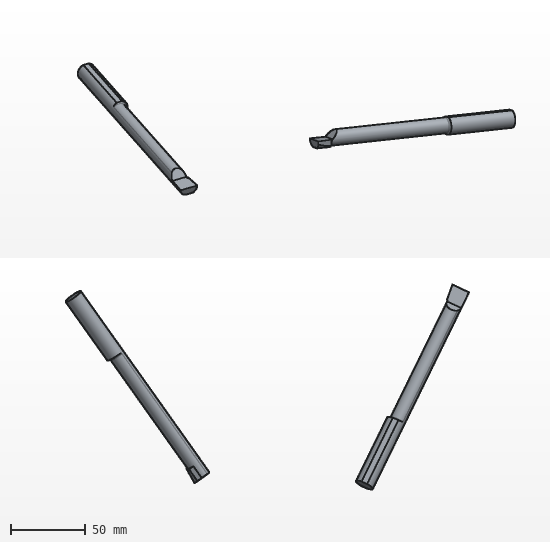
import cadquery as cq
import math

total_length = 152.4
shank_radius = 6.32
shank_length = 49.4
flat_width = 4.1

neck_radius = 5.5
neck_offset = 1.15
root_radius = 0.9

ramp_start = 134.7
rake_start = 140.0
rake_height = 0.0

head_start = 141.0
head_root_y = 5.0
tip_y = 6.2
relief_angle = 7.0
end_tilt = 1.0
margin = 15.2

flat_height = math.sqrt(shank_radius**2 - (flat_width / 2) ** 2)


def round_bar(radius, length):
    return cq.Workplane("YZ").circle(radius).extrude(length)


def flat_cut():
    """Space above the clamping flat, reaching over the neck root as well."""
    return (
        cq.Workplane("XY", origin=(0, 0, flat_height))
        .rect(2 * (shank_length + root_radius), 2 * margin)
        .extrude(margin)
    )


def make_neck():
    """Turned neck with a concave root, kept inside the shank's cylinder."""
    blend_end = shank_length + root_radius
    outer_radius = neck_radius + root_radius
    diagonal = root_radius * math.sqrt(0.5)
    arc_middle = (blend_end - diagonal, outer_radius - diagonal)
    neck = (
        cq.Workplane("XZ")
        .moveTo(shank_length, 0)
        .lineTo(shank_length, outer_radius)
        .threePointArc(arc_middle, (blend_end, neck_radius))
        .lineTo(total_length, neck_radius)
        .lineTo(total_length, 0)
        .close()
        .revolve(360, (0, 0, 0), (1, 0, 0))
        .translate((0, -neck_offset, 0))
    )
    return neck.intersect(round_bar(shank_radius, total_length))


def make_head():
    """Cutting head below the rake face, tapered for side clearance."""
    outline = [
        (head_start, -neck_offset),
        (head_start, head_root_y),
        (total_length, tip_y),
        (total_length, -neck_offset),
    ]
    head = (
        cq.Workplane("XY", origin=(0, 0, rake_height))
        .polyline(outline)
        .close()
        .extrude(-neck_radius, taper=relief_angle)
    )
    return head.intersect(round_bar(shank_radius, total_length))


def rake_cut():
    """Space above the ramp and the rake face."""
    return (
        cq.Workplane("XZ")
        .moveTo(ramp_start, neck_radius)
        .lineTo(rake_start, rake_height)
        .lineTo(total_length + margin, rake_height)
        .lineTo(total_length + margin, neck_radius + margin)
        .lineTo(ramp_start, neck_radius + margin)
        .close()
        .extrude(margin, both=True)
    )


def end_relief_cut():
    """Space ahead of the end face, which leans back below the cutting edge."""
    drop = 2 * neck_radius
    setback = drop * math.tan(math.radians(relief_angle))
    cutter = (
        cq.Workplane("XZ")
        .moveTo(total_length, rake_height)
        .lineTo(total_length - setback, rake_height - drop)
        .lineTo(total_length + margin, rake_height - drop)
        .lineTo(total_length + margin, rake_height)
        .close()
        .extrude(margin, both=True)
    )
    tip = (total_length, tip_y, 0)
    above_tip = (total_length, tip_y, 1)
    return cutter.rotate(tip, above_tip, -end_tilt)


cutting_end = make_neck().cut(rake_cut()).union(make_head()).cut(end_relief_cut())
shank = round_bar(shank_radius, shank_length)
result = shank.union(cutting_end).cut(flat_cut())